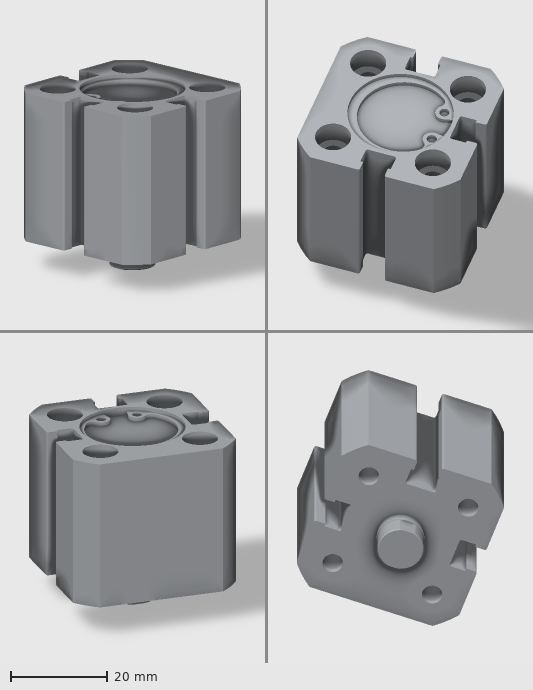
import cadquery as cq
import math


TOTAL_LENGTH = 38.0
ROD_OUT = 6.0
HOUSING_HEIGHT = TOTAL_LENGTH - ROD_OUT
HOUSING_WIDTH = 36.0
HALF_WIDTH = HOUSING_WIDTH / 2
CORNER_RADIUS = 22.57

HOLE_SPACING = 22.0
HOLE_DIAMETER = 4.25
COUNTERBORE_DIAMETER = 7.52
COUNTERBORE_DEPTH = 5.0

SLOT_MOUTH_HALF = 2.75
SLOT_INNER_HALF = 3.35
SLOT_LIP = 2.4
SLOT_DEPTH = 6.0
SLOT_ROUND = 0.45
SLOT_ANGLES = (0, 90, -90)

BORE_RADIUS = 11.05
RING_RECESS = 0.9
RING_THICKNESS = 1.0
COVER_THICKNESS = 4.95
RING_BOTTOM = HOUSING_HEIGHT - RING_RECESS - RING_THICKNESS
COVER_BOTTOM = RING_BOTTOM - COVER_THICKNESS

RING_INNER_RADIUS = 9.8
RING_INNER_OFFSET = 0.75
LUG_X = 3.95
LUG_Y = -8.3
LUG_RADIUS = 1.9
LUG_BLEND_RADIUS = 1.52
PLIER_HOLE_DIAMETER = 2.13

ROD_DIAMETER = 10.0
ROD_END_DIAMETER = 9.65
SHOULDER_Z = -1.67
FLATS_TOP_Z = -1.98
ACROSS_FLATS = 9.0
ROD_END_CHAMFER = 0.23


def slot_cutter():
    """T-shaped slot in the -Y side, running the whole height of the housing."""
    outer_y = -HALF_WIDTH
    lip_y = outer_y + SLOT_LIP
    floor_y = outer_y + SLOT_DEPTH
    return (
        cq.Workplane("XY")
        .moveTo(-SLOT_MOUTH_HALF - SLOT_ROUND, outer_y)
        .radiusArc((-SLOT_MOUTH_HALF, outer_y + SLOT_ROUND), -SLOT_ROUND)
        .lineTo(-SLOT_MOUTH_HALF, lip_y)
        .lineTo(-SLOT_INNER_HALF, lip_y)
        .lineTo(-SLOT_INNER_HALF, floor_y - SLOT_ROUND)
        .radiusArc((-SLOT_INNER_HALF + SLOT_ROUND, floor_y), SLOT_ROUND)
        .lineTo(SLOT_INNER_HALF - SLOT_ROUND, floor_y)
        .radiusArc((SLOT_INNER_HALF, floor_y - SLOT_ROUND), SLOT_ROUND)
        .lineTo(SLOT_INNER_HALF, lip_y)
        .lineTo(SLOT_MOUTH_HALF, lip_y)
        .lineTo(SLOT_MOUTH_HALF, outer_y + SLOT_ROUND)
        .radiusArc((SLOT_MOUTH_HALF + SLOT_ROUND, outer_y), -SLOT_ROUND)
        .close()
        .extrude(HOUSING_HEIGHT)
    )


def make_housing():
    """Square block with turned corners, slots, mounting holes, bore and rod hole."""
    block = cq.Workplane("XY").rect(HOUSING_WIDTH, HOUSING_WIDTH).extrude(HOUSING_HEIGHT)
    housing = block.intersect(cq.Workplane("XY").circle(CORNER_RADIUS).extrude(HOUSING_HEIGHT))
    for angle in SLOT_ANGLES:
        housing = housing.cut(slot_cutter().rotate((0, 0, 0), (0, 0, 1), angle))
    housing = (
        housing.faces(">Z").workplane(origin=(0, 0, HOUSING_HEIGHT))
        .rect(HOLE_SPACING, HOLE_SPACING, forConstruction=True)
        .vertices()
        .cboreHole(HOLE_DIAMETER, COUNTERBORE_DIAMETER, COUNTERBORE_DEPTH)
    )
    bore = (
        cq.Workplane("XY").workplane(offset=COVER_BOTTOM)
        .circle(BORE_RADIUS).extrude(HOUSING_HEIGHT - COVER_BOTTOM)
    )
    rod_hole = cq.Workplane("XY").circle(ROD_DIAMETER / 2).extrude(COVER_BOTTOM)
    return housing.cut(bore).cut(rod_hole)


def make_cover():
    """Plain disc that closes the bore under the retaining ring."""
    return (
        cq.Workplane("XY").workplane(offset=COVER_BOTTOM)
        .circle(BORE_RADIUS).extrude(COVER_THICKNESS)
    )


def point_at(centre, radius, angle):
    """Point on a circle at an angle measured from +X."""
    return (centre[0] + radius * math.cos(angle), centre[1] + radius * math.sin(angle))


def mirrored(point):
    """Same point on the other side of the YZ plane."""
    return (-point[0], point[1])


def make_ring():
    """Open retaining ring with two lugs and plier holes; the gap faces -Y."""
    lug = (LUG_X, LUG_Y)
    inner_centre = (0, -RING_INNER_OFFSET)

    lug_distance = math.hypot(LUG_X, LUG_Y)
    gap_angle = math.atan2(LUG_Y, LUG_X) - math.asin(LUG_RADIUS / lug_distance)
    lug_start = point_at((0, 0), math.sqrt(lug_distance**2 - LUG_RADIUS**2), gap_angle)
    gap_corner = point_at((0, 0), BORE_RADIUS, gap_angle)

    to_inner = RING_INNER_RADIUS - LUG_BLEND_RADIUS
    to_lug = LUG_RADIUS + LUG_BLEND_RADIUS
    lug_rise = LUG_Y + RING_INNER_OFFSET
    base = math.hypot(LUG_X, lug_rise)
    along = (to_inner**2 + base**2 - to_lug**2) / (2 * base)
    blend_angle = math.atan2(lug_rise, LUG_X) + math.acos(along / to_inner)
    blend = point_at(inner_centre, to_inner, blend_angle)
    blend_end = point_at(inner_centre, RING_INNER_RADIUS, blend_angle)
    lug_to_blend = math.atan2(blend[1] - LUG_Y, blend[0] - LUG_X)
    lug_end = point_at(lug, LUG_RADIUS, lug_to_blend)
    lug_top = point_at(lug, LUG_RADIUS, math.pi / 2)
    blend_bottom = point_at(blend, LUG_BLEND_RADIUS, -math.pi / 2)
    inner_top = (0, RING_INNER_RADIUS - RING_INNER_OFFSET)

    return (
        cq.Workplane("XY").workplane(offset=RING_BOTTOM)
        .moveTo(*gap_corner)
        .lineTo(*lug_start)
        .threePointArc(lug_top, lug_end)
        .threePointArc(blend_bottom, blend_end)
        .threePointArc(inner_top, mirrored(blend_end))
        .threePointArc(mirrored(blend_bottom), mirrored(lug_end))
        .threePointArc(mirrored(lug_top), mirrored(lug_start))
        .lineTo(*mirrored(gap_corner))
        .threePointArc((0, BORE_RADIUS), gap_corner)
        .close()
        .pushPoints([lug, mirrored(lug)])
        .circle(PLIER_HOLE_DIAMETER / 2)
        .extrude(RING_THICKNESS)
    )


def make_rod():
    """Rod from the cover down through the housing, with a turned end and two wrench flats."""
    shoulder_chamfer = (ROD_DIAMETER - ROD_END_DIAMETER) / 2
    shank = (
        cq.Workplane("XY").workplane(offset=SHOULDER_Z)
        .circle(ROD_DIAMETER / 2).extrude(COVER_BOTTOM - SHOULDER_Z)
        .faces("<Z").chamfer(shoulder_chamfer)
    )
    end = (
        cq.Workplane("XY").workplane(offset=-ROD_OUT)
        .circle(ROD_END_DIAMETER / 2).extrude(ROD_OUT + SHOULDER_Z)
        .faces("<Z").chamfer(ROD_END_CHAMFER)
    )
    flats_length = ROD_OUT + FLATS_TOP_Z
    outside_flats = (
        cq.Workplane("XY").workplane(offset=-ROD_OUT)
        .rect(ROD_DIAMETER, ROD_DIAMETER)
        .rect(ROD_DIAMETER, ACROSS_FLATS)
        .extrude(flats_length)
    )
    return shank.union(end.cut(outside_flats))


housing = make_housing()
cover = make_cover()
ring = make_ring()
rod = make_rod()

result = cq.Compound.makeCompound([housing.val(), cover.val(), ring.val(), rod.val()])